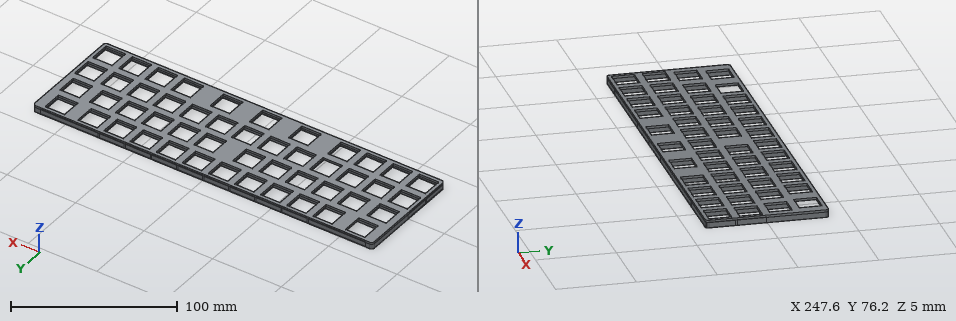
import cadquery as cq

LENGTH = 247.6
COLUMNS = 13
ROWS = 4
PITCH = LENGTH / COLUMNS
WIDTH = ROWS * PITCH
CORNER_RADIUS = 2.0

TOTAL_HEIGHT = 5.0
PLATE_THICKNESS = 1.5
FRAME_HEIGHT = TOTAL_HEIGHT - PLATE_THICKNESS

RIB_THICKNESS = 1.05
POCKET_SIDE = PITCH - RIB_THICKNESS
PLATE_LIP = 2.0
CUTOUT_SIDE = POCKET_SIDE - 2 * PLATE_LIP

KEY_ROWS = [
    [0.5, 1.5, 2.5, 3.5, 5.0, 6.5, 8.0, 9.5, 10.5, 11.5, 12.5],
    [column + 0.5 for column in range(COLUMNS)],
    [0.625, 1.75, 2.75, 3.75, 4.75, 5.75, 7.25, 8.25, 9.25, 10.25, 11.25, 12.375],
    [0.75, *range(2, COLUMNS - 1), COLUMNS - 0.75],
]

JOINED_POCKETS = [
    ((0, 3), (1, 3)),
    ((3, 0), (3, 1)),
    ((3, 10), (3, 11)),
]


def key_centre(row, index):
    """Centre of one key, measured from the middle of the plate."""
    x = (KEY_ROWS[row][index] - COLUMNS / 2) * PITCH
    y = (row + 0.5 - ROWS / 2) * PITCH
    return x, y


def key_openings(side, bottom, height):
    """Square prism for every key, used to cut through one layer."""
    centres = [key_centre(row, index) for row, keys in enumerate(KEY_ROWS) for index in range(len(keys))]
    layer = cq.Workplane("XY").workplane(offset=bottom)
    return layer.pushPoints(centres).rect(side, side).extrude(height)


def rounded_slab(bottom, height):
    """Slab with the full outline and rounded upright corners."""
    slab = cq.Workplane("XY").workplane(offset=bottom).rect(LENGTH, WIDTH).extrude(height)
    return slab.edges("|Z").fillet(CORNER_RADIUS)


def pocket_bridge(first, second):
    """Block spanning from one pocket centre to the next, as wide as a pocket."""
    x1, y1 = key_centre(*first)
    x2, y2 = key_centre(*second)
    span_x = max(x2 - x1, POCKET_SIDE)
    span_y = max(y2 - y1, POCKET_SIDE)
    middle = cq.Workplane("XY").center((x1 + x2) / 2, (y1 + y2) / 2)
    return middle.rect(span_x, span_y).extrude(FRAME_HEIGHT)


def make_plate():
    """Switch plate: thin sheet with one square cutout per key."""
    sheet = rounded_slab(FRAME_HEIGHT, PLATE_THICKNESS)
    return sheet.cut(key_openings(CUTOUT_SIDE, FRAME_HEIGHT, PLATE_THICKNESS))


def make_frame():
    """Frame under the plate: open pockets, a few of them joined to a neighbour."""
    frame = rounded_slab(0, FRAME_HEIGHT).cut(key_openings(POCKET_SIDE, 0, FRAME_HEIGHT))
    for first, second in JOINED_POCKETS:
        frame = frame.cut(pocket_bridge(first, second))
    return frame


plate = make_plate()
frame = make_frame()
result = cq.Compound.makeCompound([plate.solids().val(), frame.solids().val()])